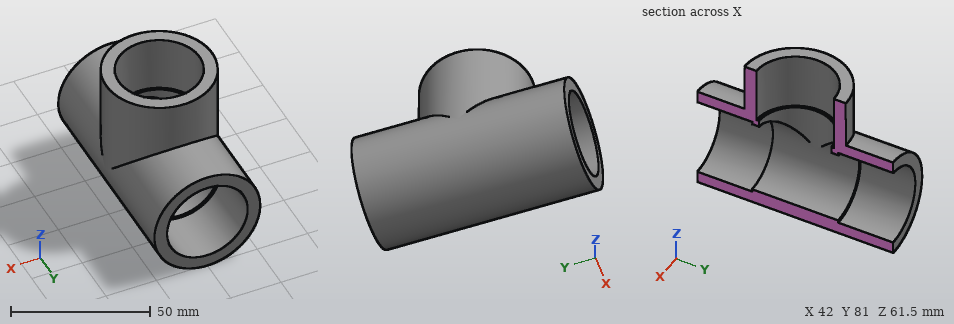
import cadquery as cq

run_length = 81.0
outer_diameter = 42.0
socket_diameter = 32.0
bore_diameter = 30.0
socket_depth = 22.7

end_distance = run_length / 2
bore_end_distance = end_distance - socket_depth

END_DIRECTIONS = [(0, 1, 0), (0, -1, 0), (0, 0, 1)]


def cylinder_along(direction, diameter, start, end):
    """Cylinder on an axis through the tee centre, between two distances from it."""
    axis = cq.Vector(*direction)
    return cq.Workplane(cq.Solid.makeCylinder(diameter / 2, end - start, axis * start, axis))


body = cylinder_along((0, 1, 0), outer_diameter, -end_distance, end_distance)
body = body.union(cylinder_along((0, 0, 1), outer_diameter, 0, end_distance))

body = body.cut(cylinder_along((0, 1, 0), bore_diameter, -end_distance, end_distance))
body = body.cut(cylinder_along((0, 0, 1), bore_diameter, 0, end_distance))

for direction in END_DIRECTIONS:
    body = body.cut(cylinder_along(direction, socket_diameter, bore_end_distance, end_distance))

result = body